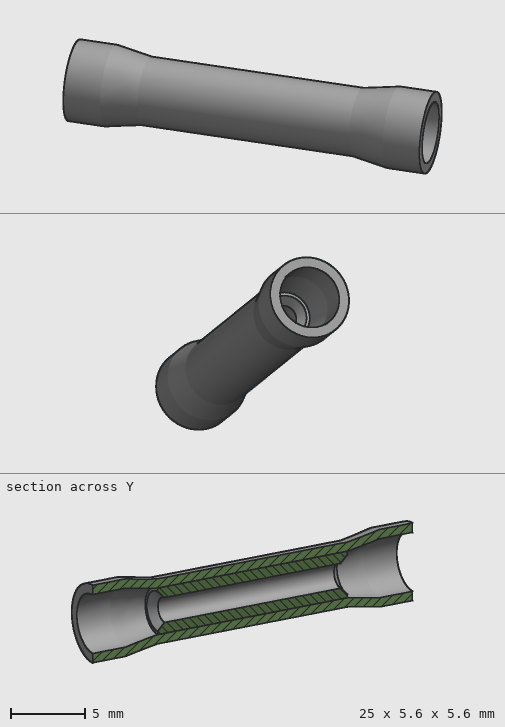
import cadquery as cq

LENGTH = 25.0
END_LENGTH = 2.58
TAPER_LENGTH = 2.5

END_RADIUS = 2.8
MIDDLE_RADIUS = 2.35
MOUTH_RADIUS = 2.1

BARREL_RADIUS = 1.65
LEAD_IN_RADIUS = 1.42
BARREL_BORE_RADIUS = 0.88
LEAD_IN_LENGTH = LEAD_IN_RADIUS - BARREL_BORE_RADIUS

half_length = LENGTH / 2
taper_start = half_length - END_LENGTH
barrel_half_length = taper_start - TAPER_LENGTH
bore_half_length = barrel_half_length - LEAD_IN_LENGTH


def make_sleeve():
    """Flared tube whose bore follows its outside and grips the barrel."""
    outline = [
        (-half_length, MOUTH_RADIUS),
        (-half_length, END_RADIUS),
        (-taper_start, END_RADIUS),
        (-barrel_half_length, MIDDLE_RADIUS),
        (barrel_half_length, MIDDLE_RADIUS),
        (taper_start, END_RADIUS),
        (half_length, END_RADIUS),
        (half_length, MOUTH_RADIUS),
        (taper_start, MOUTH_RADIUS),
        (barrel_half_length, BARREL_RADIUS),
        (-barrel_half_length, BARREL_RADIUS),
        (-taper_start, MOUTH_RADIUS),
    ]
    profile = cq.Workplane("XY").polyline(outline).close()
    return profile.revolve(360, (0, 0, 0), (1, 0, 0))


def make_barrel():
    """Straight tube with a conical wire lead-in at each end."""
    outline = [
        (-barrel_half_length, LEAD_IN_RADIUS),
        (-barrel_half_length, BARREL_RADIUS),
        (barrel_half_length, BARREL_RADIUS),
        (barrel_half_length, LEAD_IN_RADIUS),
        (bore_half_length, BARREL_BORE_RADIUS),
        (-bore_half_length, BARREL_BORE_RADIUS),
    ]
    profile = cq.Workplane("XY").polyline(outline).close()
    return profile.revolve(360, (0, 0, 0), (1, 0, 0))


sleeve = make_sleeve()
barrel = make_barrel()

result = cq.Compound.makeCompound([sleeve.val(), barrel.val()])